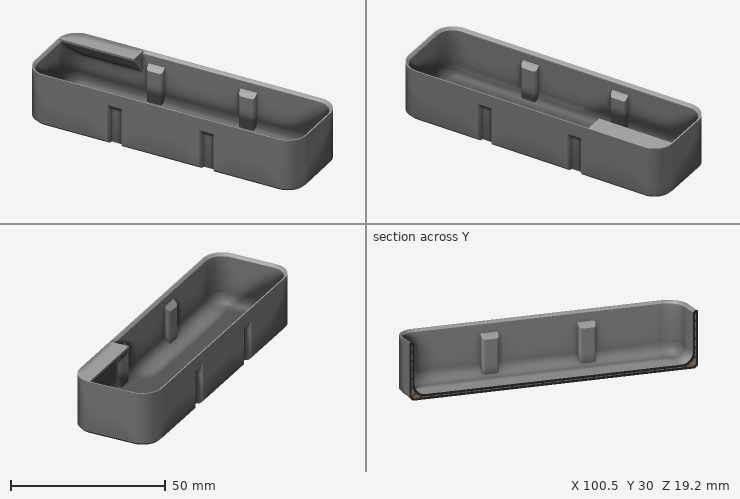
import cadquery as cq
import math

length = 100.5
width = 30.0
height = 19.2
corner_radius = 7.0
base_chamfer = 1.0

wall = 1.2
floor_thickness = wall
floor_fillet = 4.0
rim_land = 0.4
rim_chamfer = wall - rim_land

plate_length = 28.0
plate_width = corner_radius
plate_edge_thickness = 0.8
plate_underside_angle = 50.0

groove_spacing = 34.0
groove_mouth_width = 5.1
groove_floor_width = 4.0
groove_mouth_top = 14.5
groove_depth = 2.0
groove_floor_top = groove_mouth_top - groove_depth

rib_skin = 1.0
rib_width = groove_floor_width + 2 * rib_skin
rib_projection = groove_depth + rib_skin
rib_edge_radius = rib_skin
rib_crown_top = 13.6


def rounded_block(inset, bottom, top):
    """Block with rounded vertical edges, inset evenly from the tray outline."""
    return (
        cq.Workplane("XY")
        .workplane(offset=bottom)
        .rect(length - 2 * inset, width - 2 * inset)
        .extrude(top - bottom)
        .edges("|Z")
        .fillet(corner_radius - inset)
    )


def outer_block():
    """Solid body of the tray with its bottom edge chamfered."""
    return rounded_block(0, 0, height).faces("<Z").edges().chamfer(base_chamfer)


def cavity():
    """Pocket with a rounded floor edge and a 45 degree flare at the rim."""
    pocket = rounded_block(wall, floor_thickness, height).faces("<Z").edges().fillet(floor_fillet)
    flare = rounded_block(rim_land, height - rim_chamfer, height + rim_chamfer)
    flare = flare.faces("<Z").edges().chamfer(rim_chamfer)
    return pocket.union(flare)


def corner_plate():
    """Plate over the (-X, +Y) top corner, its underside sloping down to the long wall."""
    back = width / 2
    edge = back - plate_width
    edge_bottom = height - plate_edge_thickness
    back_bottom = edge_bottom - plate_width * math.tan(math.radians(plate_underside_angle))
    profile = [(edge, height), (back, height), (back, back_bottom), (edge, edge_bottom)]
    plate = (
        cq.Workplane("YZ", origin=(-length / 2, 0, 0))
        .polyline(profile)
        .close()
        .extrude(plate_length)
    )
    return plate.intersect(outer_block())


def front_groove():
    """Groove on the -Y side at X = 0, narrowing and getting lower towards its floor."""
    mouth_y = -width / 2
    return (
        cq.Workplane("XZ", origin=(0, mouth_y, 0))
        .center(-groove_mouth_width / 2, 0)
        .rect(groove_mouth_width, groove_mouth_top, centered=False)
        .workplane(offset=-groove_depth)
        .center((groove_mouth_width - groove_floor_width) / 2, 0)
        .rect(groove_floor_width, groove_floor_top, centered=False)
        .loft(ruled=True)
    )


def front_rib():
    """Rib on the inside of the -Y wall at X = 0, with a 45 degree top and rounded edges."""
    back = -width / 2 + wall / 2
    crown = -width / 2 + rib_projection
    back_top = rib_crown_top + crown - back
    foot = floor_thickness / 2
    profile = [(back, foot), (crown, foot), (crown, rib_crown_top), (back, back_top)]
    bar = (
        cq.Workplane("YZ")
        .polyline(profile)
        .close()
        .extrude(rib_width / 2, both=True)
    )
    return bar.faces(">Y").edges("|Z").fillet(rib_edge_radius)


def on_all_stations(tool):
    """Copies of a -Y side tool at every groove position on both long sides."""
    copies = cq.Workplane("XY")
    for x in (-groove_spacing / 2, groove_spacing / 2):
        placed = tool.translate((x, 0, 0))
        copies = copies.add(placed).add(placed.mirror("XZ"))
    return copies.combine()


tray = outer_block().cut(cavity()).union(corner_plate())
tray = tray.union(on_all_stations(front_rib()))
result = tray.cut(on_all_stations(front_groove()))